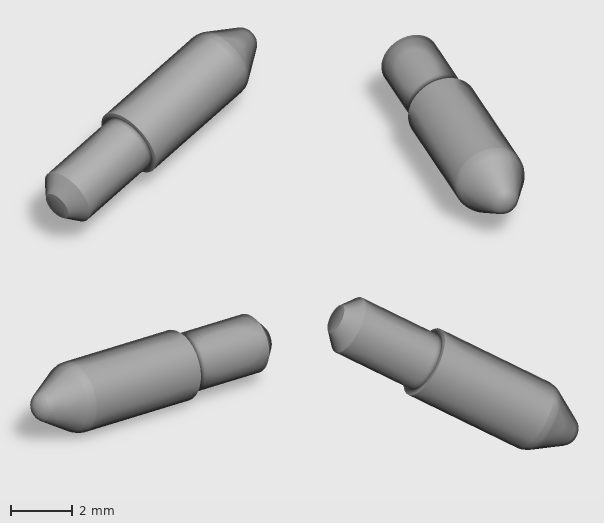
import cadquery as cq
import math

total_length = 9.5
head_diameter = 2.4
shank_diameter = 1.995
shank_length = 3.51
shank_chamfer = 0.5

nose_length = 1.5
nose_half_angle = 30.0
tip_round = 0.5
shoulder_round = 0.6

head_length = total_length - shank_length
head_radius = head_diameter / 2
shank_radius = shank_diameter / 2
shoulder_y = head_length - nose_length
sharp_tip_radius = head_radius - nose_length * math.tan(math.radians(nose_half_angle))


def revolve_about_y(profile):
    """Turn a closed half profile (X = radius) into a solid around the Y axis."""
    return profile.close().revolve(360, (0, 0, 0), (0, 1, 0))


def make_head():
    """Cylinder with a conical nose, rounded at the tip and at the shoulder."""
    profile = (
        cq.Workplane("XY")
        .lineTo(head_radius, 0)
        .lineTo(head_radius, shoulder_y)
        .lineTo(sharp_tip_radius, head_length)
        .lineTo(0, head_length)
    )
    head = revolve_about_y(profile)
    head = head.faces(">Y").edges().fillet(tip_round)
    shoulder = cq.selectors.NearestToPointSelector((0, shoulder_y, 0))
    return head.edges("%CIRCLE").edges(shoulder).fillet(shoulder_round)


def make_shank():
    """Plain round shank with a chamfered free end."""
    profile = (
        cq.Workplane("XY")
        .lineTo(shank_radius, 0)
        .lineTo(shank_radius, -shank_length)
        .lineTo(0, -shank_length)
    )
    return revolve_about_y(profile).faces("<Y").edges().chamfer(shank_chamfer)


head = make_head()
shank = make_shank()

result = cq.Compound.makeCompound([head.val(), shank.val()])